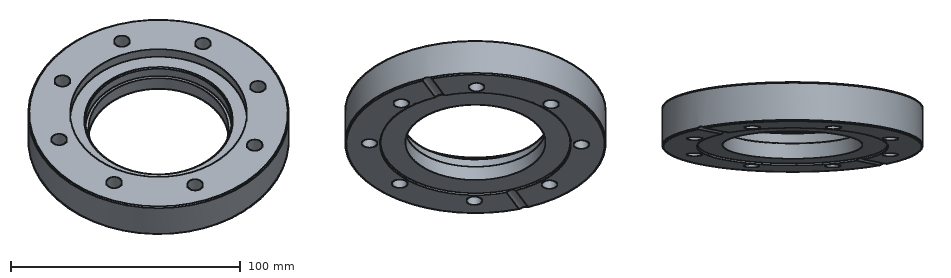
import cadquery as cq

OUTER_DIAMETER = 113.5
HEIGHT = 17.5
EDGE_CHAMFER = 0.6

RECESS_DIAMETER = 77.0
RECESS_DEPTH = 4.8
SEAT_DIAMETER = 83.2

BOLT_COUNT = 8
BOLT_DIAMETER = 6.8
BOLT_CIRCLE_DIAMETER = 92.2

GROOVE_RADIUS = 3.0
GROOVE_DEPTH = 0.9

INSERT_DIAMETER = 82.4
BORE_DIAMETER = 61.0
SOCKET_DIAMETER = 63.6
SOCKET_DEPTH = 5.1
SOCKET_CHAMFER = 0.6
INSERT_BOTTOM = 0.8

shoulder_height = HEIGHT - RECESS_DEPTH


def make_ring():
    """Outer ring with a bore that widens into a seat below the shoulder."""
    ring = cq.Workplane("XY").circle(OUTER_DIAMETER / 2).extrude(HEIGHT)
    ring = ring.faces("<Z or >Z").edges().chamfer(EDGE_CHAMFER)
    ring = ring.cut(cq.Workplane("XY").circle(RECESS_DIAMETER / 2).extrude(HEIGHT))
    ring = ring.cut(cq.Workplane("XY").circle(SEAT_DIAMETER / 2).extrude(shoulder_height))
    return ring.cut(make_bolt_holes()).cut(make_grooves())


def make_bolt_holes():
    """Through cylinders, evenly spaced and half a step away from the X axis."""
    step = 360 / BOLT_COUNT
    return (
        cq.Workplane("XY")
        .polarArray(BOLT_CIRCLE_DIAMETER / 2, step / 2, 360, BOLT_COUNT)
        .circle(BOLT_DIAMETER / 2)
        .extrude(HEIGHT)
    )


def make_grooves():
    """One cylinder along X that cuts a groove on both sides of the ring."""
    return (
        cq.Workplane("YZ")
        .center(0, GROOVE_DEPTH - GROOVE_RADIUS)
        .circle(GROOVE_RADIUS)
        .extrude(OUTER_DIAMETER / 2, both=True)
    )


def make_insert():
    """Flat insert under the shoulder, with a stepped bore and chamfered mouth."""
    bore_radius = BORE_DIAMETER / 2
    socket_radius = SOCKET_DIAMETER / 2
    socket_floor = shoulder_height - SOCKET_DEPTH
    profile = [
        (bore_radius, INSERT_BOTTOM),
        (INSERT_DIAMETER / 2, INSERT_BOTTOM),
        (INSERT_DIAMETER / 2, shoulder_height),
        (socket_radius + SOCKET_CHAMFER, shoulder_height),
        (socket_radius, shoulder_height - SOCKET_CHAMFER),
        (socket_radius, socket_floor),
        (bore_radius, socket_floor),
    ]
    return cq.Workplane("XZ").polyline(profile).close().revolve(360, (0, 0, 0), (0, 1, 0))


ring = make_ring()
insert = make_insert()
result = cq.Compound.makeCompound([ring.val(), insert.val()])